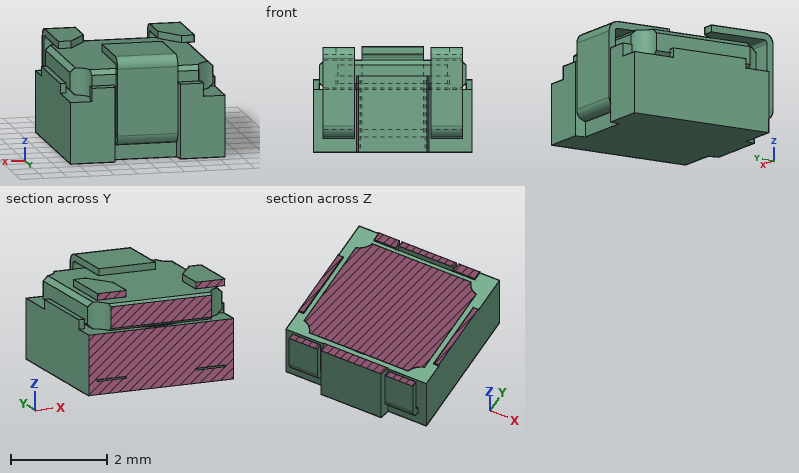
import cadquery as cq
import math

body_width = 3.3
total_depth = 3.51
total_height = 2.2

rim = 0.228
base_height = 1.313
wall_top = 1.595
side_wall_top = 1.515
side_wall_front = 0.785
side_wall_length = 1.775
boss_front_half = 0.71
boss_back_half = 0.75
rear_wall_width = 2.373
notch_inner_half = 0.667
notch_outer_half = 0.7

core_width = 3.055
core_bottom = 1.34
core_top = 1.92
core_chamfer_in = 0.112
core_chamfer_down = 0.1
corner_scoop_radius = 0.383
pad_radius = 1.335
pad_centre_y = 1.685

metal = 0.15
bend_radius = rim
lower_bend_z = 0.55
leg_bottom = lower_bend_z - bend_radius
leg_depth = metal
slot_gap = 0.028
front_clip_top = 2.185
front_clip_inner = 0.795
front_clip_width = 0.66
front_clip_centre = front_clip_inner + front_clip_width / 2
front_clip_end = 1.51
clip_corner_in = 0.385
clip_corner_back = 0.537
rear_clip_width = 1.285
rear_clip_reach = 1.478


def box(x_size, y_size, z_size, x_centre, y_start, z_start):
    """Box centred on x_centre, growing in +Y and +Z from its start corner."""
    solid = cq.Workplane("XY").box(x_size, y_size, z_size, centered=(True, False, False))
    return solid.translate((x_centre, y_start, z_start))


def tapered_prism(half_at_start, half_at_end, y_start, y_end, height):
    """Upright prism, symmetric in X, whose width changes evenly along Y."""
    outline = [
        (-half_at_start, y_start),
        (half_at_start, y_start),
        (half_at_end, y_end),
        (-half_at_end, y_end),
    ]
    return cq.Workplane("XY").polyline(outline).close().extrude(height)


def make_base():
    """Block with a front boss, low side walls and a notched rear wall."""
    base = box(body_width, total_depth - rim, base_height, 0, rim, 0)
    base = base.union(tapered_prism(boss_front_half, boss_back_half, 0, rim, wall_top))

    side_wall = (body_width - core_width) / 2
    for side in (-1, 1):
        x_centre = side * (body_width - side_wall) / 2
        base = base.union(
            box(side_wall, side_wall_length, side_wall_top, x_centre, side_wall_front, 0)
        )

    wall_y = total_depth - rim
    base = base.union(box(rear_wall_width, rim, wall_top, 0, wall_y, 0))
    notch = tapered_prism(notch_inner_half, notch_outer_half, wall_y, total_depth, wall_top)
    base = base.cut(notch)

    for side in (-1, 1):
        x_centre = side * front_clip_centre
        base = base.cut(
            box(front_clip_width, leg_depth, slot_gap, x_centre, rim, leg_bottom - slot_gap)
        )
    return base


def chamfered_bar(plane, span, centre):
    """Long bar with the core's octagonal section, its length across the given plane."""
    left = centre - span / 2
    right = centre + span / 2
    outline = [
        (left, core_bottom + core_chamfer_down),
        (left + core_chamfer_in, core_bottom),
        (right - core_chamfer_in, core_bottom),
        (right, core_bottom + core_chamfer_down),
        (right, core_top - core_chamfer_down),
        (right - core_chamfer_in, core_top),
        (left + core_chamfer_in, core_top),
        (left, core_top - core_chamfer_down),
    ]
    return cq.Workplane(plane).polyline(outline).close().extrude(total_depth, both=True)


def make_core():
    """Chamfered plate with concave corners, standing on a round pad."""
    core_depth = total_depth - 2 * rim
    core = chamfered_bar("XZ", core_width, 0)
    core = core.intersect(chamfered_bar("YZ", core_depth, total_depth / 2))

    for x in (-core_width / 2, core_width / 2):
        for y in (rim, total_depth - rim):
            scoop = cq.Workplane("XY").center(x, y).circle(corner_scoop_radius).extrude(total_height)
            core = core.cut(scoop)

    pad = cq.Workplane("XY", origin=(0, pad_centre_y, base_height))
    return core.union(pad.circle(pad_radius).extrude(core_bottom - base_height))


def make_clip(width, top, reach):
    """C-shaped strip with its outer face at Y = 0: leg, lower bend, upright, upper bend, arm."""
    inner_radius = bend_radius - metal
    upper_bend_z = top - bend_radius
    leg_end = bend_radius + leg_depth
    diagonal = math.sqrt(0.5)

    def on_bend(radius, z_centre, up):
        """Midpoint of a bend arc, above (up = 1) or below (up = -1) its centre."""
        return (bend_radius - radius * diagonal, z_centre + up * radius * diagonal)

    profile = (
        cq.Workplane("YZ")
        .moveTo(leg_end, leg_bottom)
        .lineTo(bend_radius, leg_bottom)
        .threePointArc(on_bend(bend_radius, lower_bend_z, -1), (0, lower_bend_z))
        .lineTo(0, upper_bend_z)
        .threePointArc(on_bend(bend_radius, upper_bend_z, 1), (bend_radius, top))
        .lineTo(reach, top)
        .lineTo(reach, top - metal)
        .lineTo(bend_radius, top - metal)
        .threePointArc(on_bend(inner_radius, upper_bend_z, 1), (metal, upper_bend_z))
        .lineTo(metal, lower_bend_z)
        .threePointArc(on_bend(inner_radius, lower_bend_z, -1), (bend_radius, leg_bottom + metal))
        .lineTo(leg_end, leg_bottom + metal)
        .close()
    )
    return profile.extrude(width / 2, both=True)


def make_right_front_clip():
    """Terminal on the +X side, with the arm's inner end corner cut on a slope."""
    clip = make_clip(front_clip_width, front_clip_top, front_clip_end)
    clip = clip.translate((front_clip_centre, 0, 0))
    corner = [
        (front_clip_inner, front_clip_end),
        (front_clip_inner + clip_corner_in, front_clip_end),
        (front_clip_inner, front_clip_end - clip_corner_back),
    ]
    return clip.cut(cq.Workplane("XY").polyline(corner).close().extrude(total_height))


def make_rear_clip():
    """Wide terminal standing in the notch of the rear wall."""
    clip = make_clip(rear_clip_width, total_height, rear_clip_reach)
    return clip.mirror("XZ").translate((0, total_depth, 0))


right_clip = make_right_front_clip()
left_clip = right_clip.mirror("YZ")
result = make_base().union(make_core()).union(right_clip).union(left_clip).union(make_rear_clip())